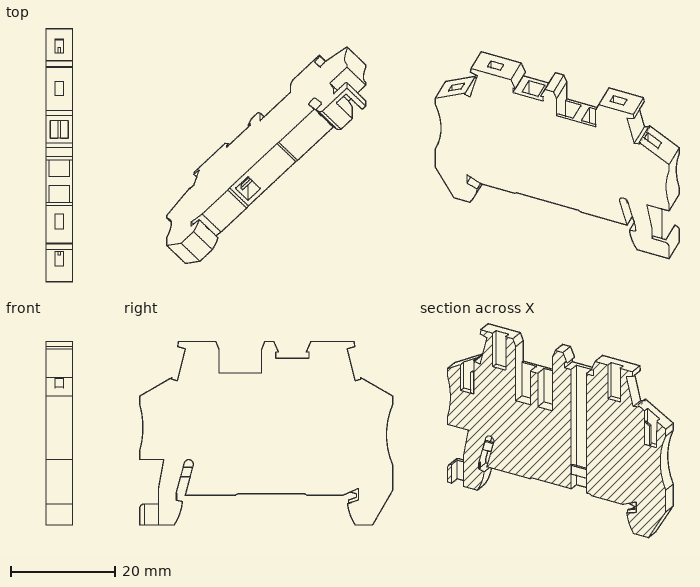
import cadquery as cq
import math

THICKNESS = 5.15
LENGTH = 48.6
HEIGHT = 35.25
END = LENGTH / 2
MARGIN = 2.45

LIP_TOP = 16.85
LIP_TIP = (17.0, 34.2)
NECK_TOP = (15.55, 33.8)
NECK_FOOT = (17.05, 27.7)
LEDGE_END = (18.2, 28.0)
SLOPE_TOP = (18.1, 28.35)
SLOPE_END_Z = 24.75

GRIP_TOP_Z = 23.2
BACK_GRIP_BOTTOM_Z = 11.45
BACK_GRIP_DEPTH = 1.2
FRONT_GRIP_BOTTOM_Z = 14.25
FRONT_GRIP_DEPTH = 0.65

MARKER_BACK, MARKER_FRONT = 8.15, 1.85
MARKER_FLOOR_Z = 32.05
MARKER_LIP_Z = 33.15
MARKER_LIP_OVERHANG = 0.55
MARKER_LIP_SLOPE = 0.9

BRIDGE_BACK, BRIDGE_FRONT = -0.9, -9.05
BRIDGE_FLOOR_Z = 29.2
BRIDGE_CHAMFER_Y, BRIDGE_CHAMFER_Z = 0.65, 1.55

UNDERSIDE_Z = 5.7
RELIEF_BACK, RELIEF_FRONT = 7.82, -5.95
RELIEF_DEPTH = 0.3
RELIEF_RAMP = 0.5

FOOT_BACK, FOOT_FRONT = 20.4, 17.05
FOOT_SLOPE_Z = 6.7
FOOT_NOSE = (15.55, 4.1)
FOOT_NOSE_MID = (16.05, 2.05)
HOOK_Y = 17.7
HOOK_BOTTOM_Z, HOOK_TOP_Z = 4.8, 7.05
HOOK_RAMP_END_Y = 14.75

SLOT_TILT = math.radians(15)
SLOT_RADIUS = 0.87
SLOT_CENTER = (-14.85, 11.65)
CATCH_Y, CATCH_Z = -17.35, 4.8
CLIP_NOSE = (-16.05, 4.5)
CLIP_NOSE_MID = (-16.55, 2.15)
CLIP_TOE_Y = -17.65
CLIP_ARM_TOP = (-19.7, 12.55)
CLIP_ARM_KNEE = (-20.7, 7.0)
CLIP_PEDAL_Z = 4.1
CLIP_PEDAL_RADIUS = 0.95
PEDAL_SIDE_WALL = 0.75

CLAMP_WIDTH = 1.7
SCREW_HOLES = [(14.15, 11.45), (-11.3, -14.15)]
BACK_WIRE_HOLE = (22.3, 19.6)
FRONT_WIRE_HOLE = (-18.45, -21.3)
WINDOW_WIDTH = 3.4
WINDOW = (6.6, 3.25)
BRIDGE_POCKET_WIDTH = 4.0
BRIDGE_POCKET_LENGTH = 3.2
POCKET_DEPTH = 7.3
BACK_WIRE_WALL_LEAN = 0.2

STRIP_THICKNESS = 0.5
STRIP_BOTTOM_Z, STRIP_TOP_Z = 9.25, 11.15
WIRE_STOP_DEPTH = 2.45
BACK_WIRE_STOP = 1.1
FRONT_WIRE_STOP = 0.65
CATCH_STRIP = 0.2
HOOK_STRIP_TIP = (16.05, 6.3)
HOOK_STRIP_SEAT_Y = 17.3
HOOK_STRIP_SEAT_TOP_Z, HOOK_STRIP_SEAT_BOTTOM_Z = 6.0, 5.35
HOOK_STRIP_NOSE_Y = 15.75
HOOK_STRIP_NOSE_TOP_Z, HOOK_STRIP_NOSE_BOTTOM_Z = 4.8, 4.2
CATCH_STRIP_TOP_Z = 6.05


def extrude_profile(profile, width=THICKNESS):
    """Extrude a closed Y-Z profile symmetrically about the middle plane."""
    return profile.close().extrude(width / 2, both=True)


def prism(points, width=THICKNESS):
    return extrude_profile(cq.Workplane("YZ").polyline(points), width)


def upright_box(width, ends, bottom, top):
    """Box centred on X, between two Y positions and two heights."""
    back, front = ends
    return prism([(back, bottom), (front, bottom), (front, top), (back, top)], width)


def shoulder_cut(side):
    """Space above the sloping shoulder; side is +1 at the back, -1 at the front."""
    points = [
        (LIP_TOP, HEIGHT + MARGIN),
        (LIP_TOP, HEIGHT),
        LIP_TIP,
        NECK_TOP,
        NECK_FOOT,
        LEDGE_END,
        SLOPE_TOP,
        (END, SLOPE_END_Z),
        (END + MARGIN, SLOPE_END_Z),
        (END + MARGIN, HEIGHT + MARGIN),
    ]
    return prism([(side * y, z) for y, z in points])


def grip_cut(side, bottom_z, depth):
    middle = (side * (END - depth), (GRIP_TOP_Z + bottom_z) / 2)
    profile = (
        cq.Workplane("YZ")
        .moveTo(side * END, GRIP_TOP_Z)
        .threePointArc(middle, (side * END, bottom_z))
    )
    return extrude_profile(profile)


def marker_notch():
    back_lip = MARKER_BACK - MARKER_LIP_OVERHANG
    front_lip = MARKER_FRONT + MARKER_LIP_OVERHANG
    return prism([
        (MARKER_BACK, MARKER_FLOOR_Z),
        (MARKER_BACK, MARKER_LIP_Z),
        (back_lip, MARKER_LIP_Z),
        (back_lip + MARKER_LIP_SLOPE, HEIGHT),
        (front_lip - MARKER_LIP_SLOPE, HEIGHT),
        (front_lip, MARKER_LIP_Z),
        (MARKER_FRONT, MARKER_LIP_Z),
        (MARKER_FRONT, MARKER_FLOOR_Z),
    ])


def bridge_notch():
    chamfer_z = HEIGHT - BRIDGE_CHAMFER_Z
    return prism([
        (BRIDGE_BACK, BRIDGE_FLOOR_Z),
        (BRIDGE_BACK, chamfer_z),
        (BRIDGE_BACK + BRIDGE_CHAMFER_Y, HEIGHT),
        (BRIDGE_FRONT - BRIDGE_CHAMFER_Y, HEIGHT),
        (BRIDGE_FRONT, chamfer_z),
        (BRIDGE_FRONT, BRIDGE_FLOOR_Z),
    ])


def rail_opening():
    """Space between the feet, including the tilted slot that frees the clip."""
    center_y, center_z = SLOT_CENTER
    across_y = SLOT_RADIUS * math.cos(SLOT_TILT)
    across_z = SLOT_RADIUS * math.sin(SLOT_TILT)
    slot_inner = (center_y + across_y, center_z - across_z)
    slot_outer = (center_y - across_y, center_z + across_z)
    slot_crown = (center_y + across_z, center_z + across_y)
    mouth_y = slot_inner[0] - (slot_inner[1] - UNDERSIDE_Z) * math.tan(SLOT_TILT)
    catch_top_z = slot_outer[1] - (slot_outer[0] - CATCH_Y) / math.tan(SLOT_TILT)
    relief_z = UNDERSIDE_Z + RELIEF_DEPTH
    profile = (
        cq.Workplane("YZ")
        .moveTo(FOOT_FRONT, 0)
        .threePointArc(FOOT_NOSE_MID, FOOT_NOSE)
        .lineTo(HOOK_Y, HOOK_BOTTOM_Z)
        .lineTo(HOOK_Y, HOOK_TOP_Z)
        .lineTo(HOOK_RAMP_END_Y, UNDERSIDE_Z)
        .lineTo(RELIEF_BACK, UNDERSIDE_Z)
        .lineTo(RELIEF_BACK - RELIEF_RAMP, relief_z)
        .lineTo(RELIEF_FRONT + RELIEF_RAMP, relief_z)
        .lineTo(RELIEF_FRONT, UNDERSIDE_Z)
        .lineTo(mouth_y, UNDERSIDE_Z)
        .lineTo(*slot_inner)
        .threePointArc(slot_crown, slot_outer)
        .lineTo(CATCH_Y, catch_top_z)
        .lineTo(CATCH_Y, CATCH_Z)
        .lineTo(*CLIP_NOSE)
        .threePointArc(CLIP_NOSE_MID, (CLIP_TOE_Y, 0))
    )
    return extrude_profile(profile)


def foot_slope_cut():
    return prism([(END, FOOT_SLOPE_Z), (FOOT_BACK, 0), (END, 0)])


def clip_undercut():
    """Space in front of the clip arm, above its rounded pedal."""
    knee_y = CLIP_ARM_KNEE[0]
    arc_depth = CLIP_PEDAL_RADIUS * (1 - math.sqrt(0.5))
    profile = (
        cq.Workplane("YZ")
        .moveTo(-END, CLIP_ARM_TOP[1])
        .lineTo(*CLIP_ARM_TOP)
        .lineTo(*CLIP_ARM_KNEE)
        .lineTo(knee_y, CLIP_PEDAL_Z)
        .lineTo(-END + CLIP_PEDAL_RADIUS, CLIP_PEDAL_Z)
        .threePointArc(
            (-END + arc_depth, CLIP_PEDAL_Z - arc_depth),
            (-END, CLIP_PEDAL_Z - CLIP_PEDAL_RADIUS),
        )
    )
    return extrude_profile(profile)


def pedal_opening():
    """Screwdriver opening behind the pedal, open to the +X side and closed by a thin wall at -X."""
    pedal_back = CLIP_ARM_KNEE[0]
    pedal_front = -END + CLIP_PEDAL_RADIUS
    opening = upright_box(THICKNESS, (pedal_back, pedal_front), 0, CLIP_PEDAL_Z)
    return opening.translate((PEDAL_SIDE_WALL, 0, 0))


def slope_height(distance):
    """Height of the shoulder slope at a distance from the middle."""
    top_y, top_z = SLOPE_TOP
    return top_z - (distance - top_y) * (top_z - SLOPE_END_Z) / (END - top_y)


def wire_hole(ends, stop_length, lean):
    """Vertical pocket in a shoulder, with the end of the metal strip standing inside it.

    The strip end is cut parallel to the shoulder slope; lean tilts the outer wall inward.
    """
    inner, outer = sorted(ends, key=abs)
    side = math.copysign(1, inner)
    mouth_z = slope_height(abs(inner))
    floor_z = mouth_z - POCKET_DEPTH
    hole = prism([
        (inner, floor_z),
        (outer - side * lean, floor_z),
        (outer, mouth_z),
        (inner, mouth_z),
    ], CLAMP_WIDTH)
    stop_end = inner + side * stop_length
    strip_end = prism([
        (inner, floor_z),
        (stop_end, floor_z),
        (stop_end, slope_height(abs(stop_end)) - WIRE_STOP_DEPTH),
        (inner, mouth_z - WIRE_STOP_DEPTH),
    ], STRIP_THICKNESS)
    return hole.cut(strip_end)


def foot_strip():
    """Edge of the metal strip lining the hook of the fixed foot."""
    return prism([
        (HOOK_Y, HOOK_TOP_Z),
        HOOK_STRIP_TIP,
        (HOOK_STRIP_SEAT_Y, HOOK_STRIP_SEAT_TOP_Z),
        (HOOK_STRIP_SEAT_Y, HOOK_STRIP_SEAT_BOTTOM_Z),
        (HOOK_STRIP_NOSE_Y, HOOK_STRIP_NOSE_TOP_Z),
        (HOOK_STRIP_NOSE_Y, HOOK_STRIP_NOSE_BOTTOM_Z),
        (HOOK_Y, HOOK_BOTTOM_Z),
    ], STRIP_THICKNESS)


body = upright_box(THICKNESS, (END, -END), 0, HEIGHT)

for end_side in (1, -1):
    body = body.cut(shoulder_cut(end_side))
body = body.cut(grip_cut(1, BACK_GRIP_BOTTOM_Z, BACK_GRIP_DEPTH))
body = body.cut(grip_cut(-1, FRONT_GRIP_BOTTOM_Z, FRONT_GRIP_DEPTH))
body = body.cut(marker_notch()).cut(bridge_notch())
body = body.cut(rail_opening()).cut(foot_slope_cut()).cut(clip_undercut())
body = body.cut(pedal_opening())

for screw_hole in SCREW_HOLES:
    body = body.cut(upright_box(CLAMP_WIDTH, screw_hole, HEIGHT - POCKET_DEPTH, HEIGHT))
body = body.cut(wire_hole(BACK_WIRE_HOLE, BACK_WIRE_STOP, BACK_WIRE_WALL_LEAN))
body = body.cut(wire_hole(FRONT_WIRE_HOLE, FRONT_WIRE_STOP, 0))
for pocket in (
    (BRIDGE_BACK, BRIDGE_BACK - BRIDGE_POCKET_LENGTH),
    (BRIDGE_FRONT + BRIDGE_POCKET_LENGTH, BRIDGE_FRONT),
):
    pocket_floor_z = BRIDGE_FLOOR_Z - POCKET_DEPTH
    body = body.cut(upright_box(BRIDGE_POCKET_WIDTH, pocket, pocket_floor_z, BRIDGE_FLOOR_Z))
body = body.cut(upright_box(WINDOW_WIDTH, WINDOW, 0, MARKER_FLOOR_Z))

body = body.union(upright_box(STRIP_THICKNESS, (WINDOW[0], CATCH_Y), STRIP_BOTTOM_Z, STRIP_TOP_Z))
body = body.union(foot_strip())
catch_strip_ends = (CATCH_Y + CATCH_STRIP, CATCH_Y)
body = body.union(upright_box(STRIP_THICKNESS, catch_strip_ends, CATCH_Z, CATCH_STRIP_TOP_Z))

result = body